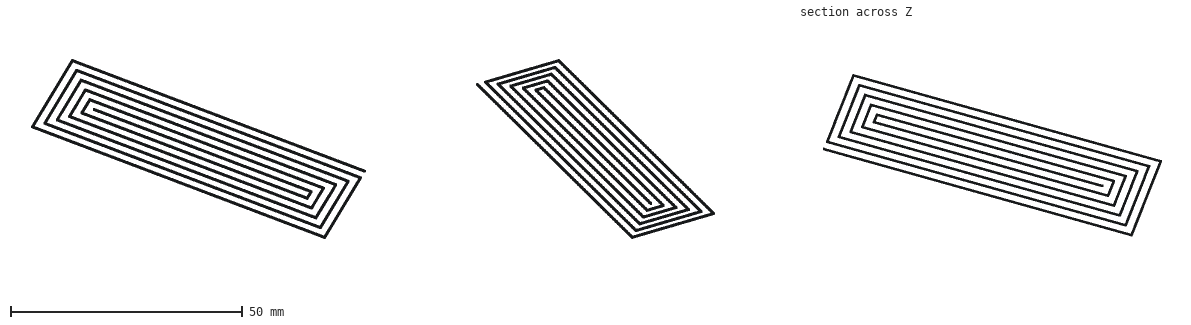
import cadquery as cq

length = 70.2
width = 20.2
strip = 0.2
turns = 5

half_x = (length - strip) / 2
half_y = (width - strip) / 2
pitch = half_y / turns


def strip_between(start, end):
    """Straight run between two centreline points, with half a strip width past each end."""
    size_x = abs(end[0] - start[0]) + strip
    size_y = abs(end[1] - start[1]) + strip
    middle = ((start[0] + end[0]) / 2, (start[1] + end[1]) / 2, 0)
    return cq.Workplane("XY").box(size_x, size_y, strip).translate(middle)


def spiral_points():
    """Centreline corners, from the open outer end inwards."""
    points = [(half_x, half_y)]
    for turn in range(turns):
        x = half_x - turn * pitch
        y = half_y - turn * pitch
        points += [(-x, y), (-x, -y), (x, -y), (x, y - pitch)]
    inner_end_x = -half_x + turns * pitch
    points.append((inner_end_x, 0))
    return points


corners = spiral_points()
result = strip_between(corners[0], corners[1])
for start, end in zip(corners[1:], corners[2:]):
    result = result.union(strip_between(start, end))
result = result.clean()